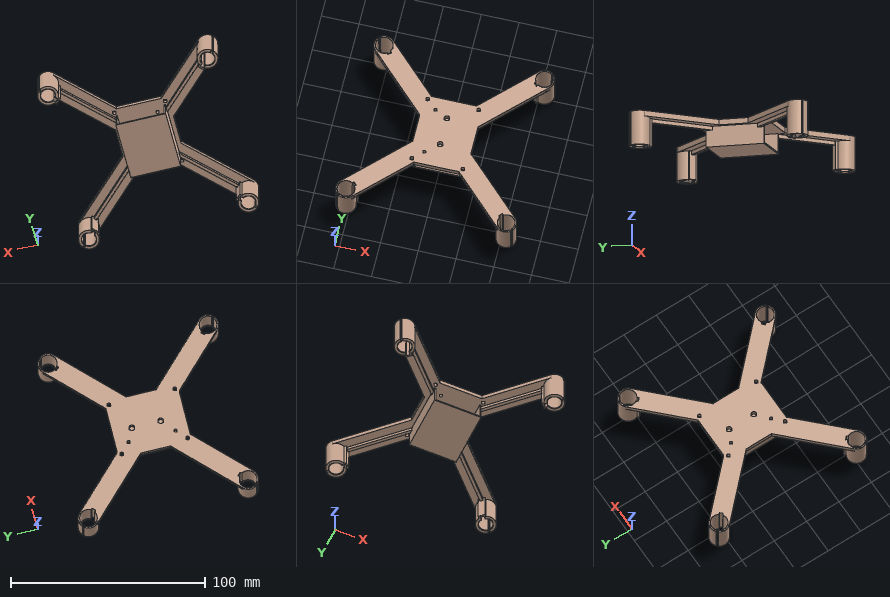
import cadquery as cq
import math

height = 18.0
overall_width = 95.65
tube_diameter = 10.8
tube_wall = 0.9
tube_radius = tube_diameter / 2
bore_top_radius = tube_radius - tube_wall
bore_bottom_radius = 4.2
lip_radius = 3.8
lip_thickness = 0.8
tube_offset = overall_width / 2 - tube_radius
tube_distance = tube_offset * math.sqrt(2)
arm_angles = [45, 135, 225, 315]

plate_thickness = 3.0
plate_bottom = height - plate_thickness
plate_size_x = 31.0
plate_size_y = 39.0
screw_hole_diameter = 1.8
screw_hole_spacing_x = 27.0
screw_hole_spacing_y = 35.0
small_hole_diameter = 1.5
small_hole_x = -8.1
small_hole_spacing = 24.9
large_hole_diameter = 2.9
large_hole_x = -1.2
large_hole_spacing = 15.3
large_hole_center_y = 1.3

slit_width = 1.0
channel_width = 2.0
channel_reach = 5.45
channel_wall = 0.9
nub_width = channel_width + 2 * channel_wall
nub_reach = channel_reach + channel_wall

tray_width = 26.5
tray_length = 31.2
tray_wall = 0.8
tray_bottom = 4.2

rib_width = 1.6
rib_height = 2.0


def radial_box(inner, outer, width, bottom, top):
    """Box along +X from one distance to another, centred on the X axis."""
    return (
        cq.Workplane("XY")
        .box(outer - inner, width, top - bottom, centered=(False, True, False))
        .translate((inner, 0, bottom))
    )


def at_arm(shape, angle):
    """Turn a shape built along +X to the direction of an arm."""
    return shape.rotate((0, 0, 0), (0, 0, 1), angle)


def tube_cylinder(radius):
    """Full-height cylinder on the tube axis, for the arm along +X."""
    return cq.Workplane("XY").center(tube_distance, 0).circle(radius).extrude(height)


def tube_bore():
    """Bore that narrows evenly downwards and ends at a thin lip with a smaller opening."""
    taper = (
        cq.Workplane("XY", origin=(tube_distance, 0, lip_thickness))
        .circle(bore_bottom_radius)
        .workplane(offset=height - lip_thickness)
        .circle(bore_top_radius)
        .loft()
    )
    return taper.union(tube_cylinder(lip_radius))


def make_arm():
    """Flat arm ending in a tube with a nub on its inner side."""
    arm = radial_box(0, tube_distance, tube_diameter, plate_bottom, height)
    nub = radial_box(tube_distance - nub_reach, tube_distance, nub_width, 0, height)
    return arm.union(tube_cylinder(tube_radius)).union(nub)


def make_arm_cut():
    """Space inside the tube: bore, wire channel towards the plate and slit on the far side."""
    channel = radial_box(tube_distance - channel_reach, tube_distance, channel_width, 0, height)
    slit = radial_box(tube_distance, tube_distance + tube_diameter, slit_width, 0, height)
    return tube_bore().union(channel).union(slit)


def make_tray():
    """Open-ended channel hanging below the plate."""
    tray_height = plate_bottom - tray_bottom
    outside = cq.Workplane("XY").box(tray_width, tray_length, tray_height, centered=(True, True, False))
    inside = (
        cq.Workplane("XY")
        .box(tray_width - 2 * tray_wall, tray_length, tray_height, centered=(True, True, False))
        .translate((0, 0, tray_wall))
    )
    return outside.cut(inside).translate((0, 0, tray_bottom))


def plate_holes(points, diameter):
    """Cutting cylinders through the full plate thickness."""
    return (
        cq.Workplane("XY", origin=(0, 0, plate_bottom))
        .pushPoints(points)
        .circle(diameter / 2)
        .extrude(plate_thickness)
    )


def make_frame():
    """Plate, four arms with tubes, and tray, as one solid."""
    frame = (
        cq.Workplane("XY", origin=(0, 0, plate_bottom))
        .rect(plate_size_x, plate_size_y)
        .extrude(plate_thickness)
    )
    for angle in arm_angles:
        frame = frame.union(at_arm(make_arm(), angle))
    for angle in arm_angles:
        frame = frame.cut(at_arm(make_arm_cut(), angle))
    frame = frame.union(make_tray())

    screw_points = [
        (side_x * screw_hole_spacing_x / 2, side_y * screw_hole_spacing_y / 2)
        for side_x in (-1, 1)
        for side_y in (-1, 1)
    ]
    small_points = [(small_hole_x, side * small_hole_spacing / 2) for side in (-1, 1)]
    large_points = [
        (large_hole_x, large_hole_center_y + side * large_hole_spacing / 2) for side in (-1, 1)
    ]
    frame = frame.cut(plate_holes(screw_points, screw_hole_diameter))
    frame = frame.cut(plate_holes(small_points, small_hole_diameter))
    return frame.cut(plate_holes(large_points, large_hole_diameter))


def make_rib(angle):
    """Narrow bar under an arm, from the tray wall to the nub of the tube."""
    bar = at_arm(
        radial_box(0, tube_distance - nub_reach, rib_width, plate_bottom - rib_height, plate_bottom),
        angle,
    )
    tray_space = cq.Workplane("XY").box(tray_width, overall_width, 2 * height)
    return bar.cut(tray_space)


frame = make_frame()
ribs = [make_rib(angle).val() for angle in arm_angles]
result = cq.Compound.makeCompound([frame.val(), *ribs])